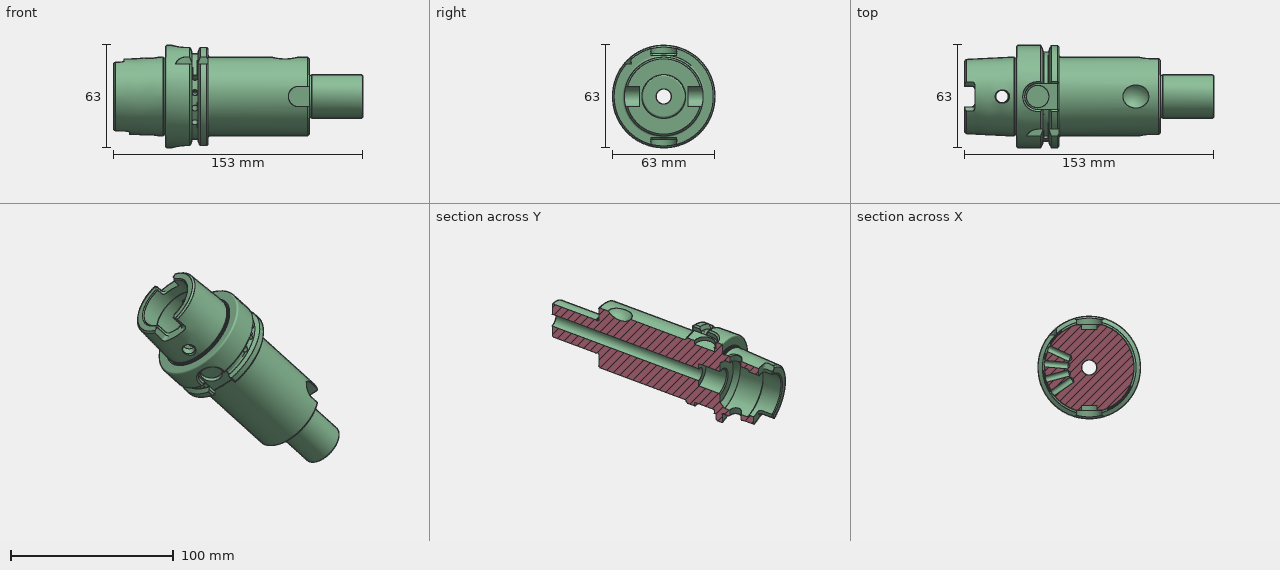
import cadquery as cq
import math

total_length = 153.0

overcut = 1.5
selection_margin = 0.2

taper_end_radius = 22.8
taper_ratio = 10.0
taper_end_chamfer = 1.0
relief_start = 30.3
relief_radius = 23.7
relief_flank = 0.5
face_recess_radius = 25.1
face_recess_depth = 0.5

flange_start = 32.0
flange_end = 58.0
flange_radius = 31.5
flange_front_round = 1.0
flange_back_chamfer = 1.0
groove_mouth_start = 46.7
groove_mouth_end = 53.2
groove_flank_width = 1.4
groove_flank_depth = 2.8
groove_floor_radius = 27.5
groove_floor_fillet = 0.6

body_radius = 24.2
body_end = 120.1
body_end_chamfer = 1.0
body_root_fillet = 1.2
spigot_radius = 13.5
spigot_end_round = 1.4
undercut_width = 1.7
undercut_radius = 13.0
undercut_corner = 0.6

mouth_radius = 17.9
mouth_chamfer_length = 0.6
bore_radius = 17.1
clamp_edge = 13.2
clamp_radius = 19.0
clamp_angle = 60.0
bore_floor = 33.7
bore_floor_radius = 15.8
thread_mouth_radius = 9.5
thread_radius = 8.7
thread_depth = 15.3
thread_chamfer = 0.8
through_radius = 4.6

drive_slot_depths = {1: 6.3, -1: 9.8}
drive_slot_half_width = 6.3
drive_slot_flare_height = 18.5
drive_slot_fillet = 1.8
drive_slot_mouth_chamfer = 0.8

cross_hole_x = 23.0
cross_hole_radius = 3.8
cross_hole_chamfer = 0.6

keyway_x = 44.8
keyway_half_width = 8.0
keyway_floor = 26.3
keyway_edge_chamfer = 1.2
keyway_exit_chamfer = 1.0
pocket_radius = 6.9
pocket_depth = 2.9

notch_level = 20.0
notch_cutter_radius = 7.6

groove_hole_radius = 1.8
groove_hole_depth = 14.5
drill_point_angle = 118.0
groove_hole_angles = (25, 5, -15, -35)

dimple_x = 105.1
dimple_height = 30.1
dimple_radius = 10.0
end_slot_half_width = 6.3
end_slot_centre_x = 113.5
end_slot_floor = 14.8


def turned(outline):
    return outline.close().revolve(360, (0, 0, 0), (1, 0, 0))


def z_cylinder(x, y, radius, z_low, z_high):
    return cq.Workplane("XY", origin=(x, y, z_low)).circle(radius).extrude(z_high - z_low)


def taper_radius(x):
    return taper_end_radius + x / (2 * taper_ratio)


def make_shank():
    profile = (
        cq.Workplane("XY")
        .lineTo(0, taper_radius(0) - taper_end_chamfer)
        .lineTo(taper_end_chamfer, taper_radius(taper_end_chamfer))
        .lineTo(relief_start, taper_radius(relief_start))
        .lineTo(relief_start + relief_flank, relief_radius)
        .lineTo(flange_start - relief_flank, relief_radius)
        .lineTo(flange_start, relief_radius + relief_flank)
        .lineTo(flange_start, 0)
    )
    return turned(profile)


def make_flange_disc():
    return (
        cq.Workplane("YZ", origin=(flange_start, 0, 0))
        .circle(flange_radius)
        .extrude(flange_end - flange_start)
    )


def cut_keyways(disc):
    past_outside = flange_radius + overcut
    length = flange_end - keyway_x
    for side in (1, -1):
        z_low, z_high = sorted((side * keyway_floor, side * past_outside))
        slot = (
            cq.Workplane("XY", origin=(keyway_x + length / 2, 0, z_low))
            .rect(length, 2 * keyway_half_width)
            .extrude(z_high - z_low)
            .union(z_cylinder(keyway_x, 0, keyway_half_width, z_low, z_high))
        )
        disc = disc.cut(slot)
    rim_height = math.sqrt(flange_radius**2 - keyway_half_width**2)
    for side in (1, -1):
        z_low, z_high = sorted((side * (rim_height - selection_margin), side * past_outside))
        rim = cq.selectors.BoxSelector(
            (flange_start + selection_margin, -past_outside, z_low),
            (flange_end - selection_margin, past_outside, z_high),
        )
        disc = disc.edges(rim).chamfer(keyway_edge_chamfer)
        exit_edge = cq.selectors.NearestToPointSelector((flange_end, 0, side * keyway_floor))
        disc = disc.edges(exit_edge).chamfer(keyway_exit_chamfer)
    return disc


def cut_notch(disc):
    size = flange_radius
    run = flange_end - keyway_x
    corner = cq.Workplane("XY", origin=(keyway_x, -notch_level, notch_level))
    straight = corner.rect(run, -size, centered=False).extrude(size)
    cutter = corner.center(0, -notch_cutter_radius).circle(notch_cutter_radius).extrude(size)
    return disc.cut(straight).cut(cutter)


def flange_envelope():
    front = flange_front_round
    back = flange_back_chamfer
    flank_radius = flange_radius - groove_flank_depth
    left_wall = groove_mouth_start + groove_flank_width
    right_wall = groove_mouth_end - groove_flank_width
    corner = groove_floor_fillet
    profile = (
        cq.Workplane("XY")
        .moveTo(flange_start, 0)
        .lineTo(flange_start, flange_radius - front)
        .radiusArc((flange_start + front, flange_radius), front)
        .lineTo(groove_mouth_start, flange_radius)
        .lineTo(left_wall, flank_radius)
        .lineTo(left_wall, groove_floor_radius + corner)
        .radiusArc((left_wall + corner, groove_floor_radius), -corner)
        .lineTo(right_wall - corner, groove_floor_radius)
        .radiusArc((right_wall, groove_floor_radius + corner), -corner)
        .lineTo(right_wall, flank_radius)
        .lineTo(groove_mouth_end, flange_radius)
        .lineTo(flange_end - back, flange_radius)
        .lineTo(flange_end, flange_radius - back)
        .lineTo(flange_end, 0)
    )
    return turned(profile)


def face_recess():
    foot = relief_radius + relief_flank
    profile = (
        cq.Workplane("XY")
        .moveTo(flange_start, foot)
        .lineTo(flange_start + face_recess_depth, foot)
        .lineTo(flange_start, face_recess_radius)
    )
    return turned(profile)


def groove_holes():
    groove_x = (groove_mouth_start + groove_mouth_end) / 2
    tip_length = groove_hole_radius / math.tan(math.radians(drill_point_angle / 2))
    length = groove_hole_depth + overcut
    holes = cq.Workplane("XY")
    for angle in groove_hole_angles:
        turn = math.radians(angle)
        outward = cq.Vector(0, -math.cos(turn), math.sin(turn))
        bottom = cq.Vector(groove_x, 0, 0) + outward * (groove_floor_radius - groove_hole_depth)
        tip = cq.Solid.makeCone(groove_hole_radius, 0, tip_length, bottom, -outward)
        holes = holes.add(cq.Solid.makeCylinder(groove_hole_radius, length, bottom, outward))
        holes = holes.add(tip)
    return holes.combine()


def make_body():
    root = body_root_fillet
    end = body_end_chamfer
    tip = spigot_end_round
    undercut_rise = spigot_radius - undercut_radius
    profile = (
        cq.Workplane("XY")
        .moveTo(flange_start, 0)
        .lineTo(flange_start, body_radius)
        .lineTo(flange_end, body_radius)
        .lineTo(flange_end, body_radius + root)
        .radiusArc((flange_end + root, body_radius), -root)
        .lineTo(body_end - end, body_radius)
        .lineTo(body_end, body_radius - end)
        .lineTo(body_end, undercut_radius + undercut_corner)
        .radiusArc((body_end + undercut_corner, undercut_radius), -undercut_corner)
        .lineTo(body_end + undercut_width - undercut_rise, undercut_radius)
        .lineTo(body_end + undercut_width, spigot_radius)
        .lineTo(total_length - tip, spigot_radius)
        .radiusArc((total_length, spigot_radius - tip), tip)
        .lineTo(total_length, 0)
    )
    return turned(profile)


def inner_bore():
    clamp_run = (clamp_radius - bore_radius) / math.tan(math.radians(clamp_angle))
    floor_cone_length = clamp_radius - bore_floor_radius
    thread_end = bore_floor + thread_depth
    profile = (
        cq.Workplane("XY")
        .lineTo(0, mouth_radius)
        .lineTo(mouth_chamfer_length, bore_radius)
        .lineTo(clamp_edge, bore_radius)
        .lineTo(clamp_edge + clamp_run, clamp_radius)
        .lineTo(bore_floor - floor_cone_length, clamp_radius)
        .lineTo(bore_floor, bore_floor_radius)
        .lineTo(bore_floor, thread_mouth_radius)
        .lineTo(bore_floor + thread_chamfer, thread_radius)
        .lineTo(thread_end, thread_radius)
        .lineTo(thread_end, through_radius)
        .lineTo(total_length, through_radius)
        .lineTo(total_length, 0)
    )
    return turned(profile)


def drive_slot(side):
    depth = drive_slot_depths[side]
    half = drive_slot_half_width
    top = taper_radius(depth) + overcut
    flared = half + top - drive_slot_flare_height
    outline = (
        cq.Workplane("YZ")
        .moveTo(-half, 0)
        .lineTo(half, 0)
        .lineTo(half, drive_slot_flare_height)
        .lineTo(flared, top)
        .lineTo(-flared, top)
        .lineTo(-half, drive_slot_flare_height)
        .close()
    )
    slot = outline.extrude(depth)
    floor_corners = cq.selectors.BoxSelector(
        (depth - selection_margin, -flared, selection_margin),
        (depth + selection_margin, flared, top - selection_margin),
    )
    slot = slot.edges(floor_corners).fillet(drive_slot_fillet)
    mouth = (
        cq.Workplane("XY")
        .moveTo(0, half + drive_slot_mouth_chamfer)
        .lineTo(drive_slot_mouth_chamfer, half)
        .lineTo(drive_slot_mouth_chamfer, -half)
        .lineTo(0, -half - drive_slot_mouth_chamfer)
        .close()
        .extrude(drive_slot_flare_height)
    )
    slot = slot.union(mouth)
    return slot if side > 0 else slot.mirror("XY")


def cross_hole():
    top = taper_radius(cross_hole_x)
    hole = z_cylinder(cross_hole_x, 0, cross_hole_radius, -top - overcut, top + overcut)
    for side in (1, -1):
        sink = cq.Solid.makeCone(
            cross_hole_radius,
            cross_hole_radius + overcut,
            overcut,
            cq.Vector(cross_hole_x, 0, side * (top - cross_hole_chamfer)),
            cq.Vector(0, 0, side),
        )
        hole = hole.union(cq.Workplane(sink))
    return hole


def end_slots():
    past_outside = body_radius + overcut
    length = body_end - end_slot_centre_x
    depth = past_outside - end_slot_floor
    slots = cq.Workplane("XZ")
    for y_start in (-end_slot_floor, past_outside):
        plane = cq.Workplane("XZ", origin=(end_slot_centre_x, y_start, 0))
        slots = slots.add(plane.circle(end_slot_half_width).extrude(depth))
        bar = plane.center(length / 2, 0).rect(length, 2 * end_slot_half_width).extrude(depth)
        slots = slots.add(bar)
    return slots.combine()


def keyway_pockets():
    pockets = cq.Workplane("XY")
    for side in (1, -1):
        floor = side * (keyway_floor - pocket_depth)
        z_low, z_high = sorted((floor, side * (keyway_floor + overcut)))
        pockets = pockets.add(z_cylinder(keyway_x, 0, pocket_radius, z_low, z_high))
    return pockets.combine()


def dimple():
    return cq.Workplane("XY").sphere(dimple_radius).translate((dimple_x, 0, dimple_height))


flange = cut_notch(cut_keyways(make_flange_disc())).intersect(flange_envelope())
result = make_shank().union(flange).union(make_body())
result = result.cut(face_recess()).cut(inner_bore())
for slot_side in drive_slot_depths:
    result = result.cut(drive_slot(slot_side))
result = result.cut(cross_hole()).cut(groove_holes()).cut(keyway_pockets())
result = result.cut(end_slots()).cut(dimple())